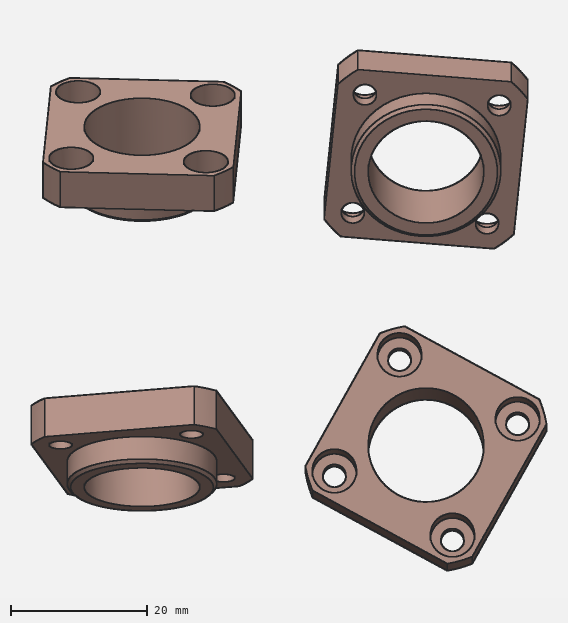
import cadquery as cq

corner_diameter = 35.98
square_side = 28.0
flange_thickness = 6.0

total_height = 10.0
boss_height = total_height - flange_thickness
boss_diameter = 22.0
boss_chamfer = 0.5

bore_diameter = 17.0
hole_diameter = 3.4
counterbore_diameter = 6.5
counterbore_depth = 4.0
hole_circle_radius = 14.0
hole_count = 4


def make_flange():
    square = cq.Workplane("XY").rect(square_side, square_side).extrude(flange_thickness)
    corner_disc = cq.Workplane("XY").circle(corner_diameter / 2).extrude(flange_thickness)
    turned_square = square.rotate((0, 0, 0), (0, 0, 1), 45)
    return turned_square.intersect(corner_disc).translate((0, 0, boss_height))


def make_boss():
    boss = cq.Workplane("XY").circle(boss_diameter / 2).extrude(boss_height)
    return boss.faces("<Z").chamfer(boss_chamfer)


body = make_flange().union(make_boss())

bore = cq.Workplane("XY").circle(bore_diameter / 2).extrude(total_height)
body = body.cut(bore)

result = (
    body.faces(">Z")
    .workplane(origin=(0, 0, total_height))
    .polarArray(hole_circle_radius, 0, 360, hole_count)
    .cboreHole(hole_diameter, counterbore_diameter, counterbore_depth)
)